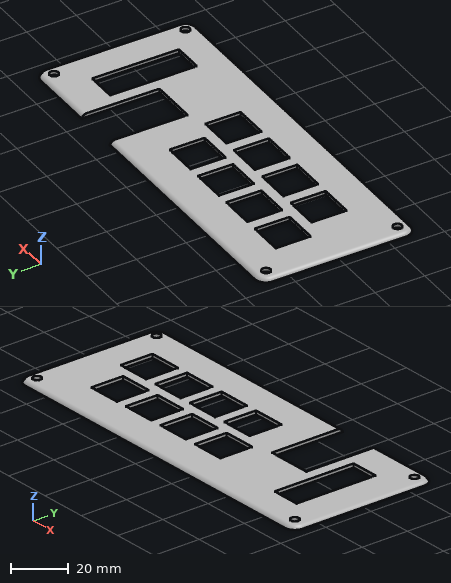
import cadquery as cq
import math

length = 152.0
width = 62.9
thickness = 1.7
corner_radius = 4.7

edge_radius = 2.5

screw_hole_diameter = 3.3
screw_hole_inset = 5.0

key_size = 14.0
key_pitch = 19.0
keys_per_row = 4
upper_row_start = (-53.8, 9.4)
lower_row_start = (-46.5, -9.4)

window_length = 12.0
window_width = 34.8
window_center = (55.6, -0.8)

notch_length = 18.8
notch_depth = 31.3
notch_center_x = 34.8


def plate_blank():
    """Rounded rectangle with its top border filleted, trimmed to the plate thickness."""
    arc_drop = edge_radius - thickness
    overhang = edge_radius - math.sqrt(edge_radius**2 - arc_drop**2)
    tall_block = (
        cq.Workplane("XY")
        .workplane(offset=-edge_radius)
        .rect(length + 2 * overhang, width + 2 * overhang)
        .extrude(edge_radius + thickness)
        .edges("|Z")
        .fillet(corner_radius + overhang)
        .faces(">Z")
        .edges()
        .fillet(edge_radius)
    )
    return tall_block.faces(">Z").workplane(offset=-thickness).split(keepTop=True)


def rectangular_cut(size_x, size_y, center):
    """Through-cutting block of the given size around a center point."""
    return cq.Workplane("XY").center(*center).rect(size_x, size_y).extrude(thickness)


def key_row(start):
    """Cutting blocks for one row of keys, running in +X from the first key center."""
    first_x, row_y = start
    centers = [(first_x + i * key_pitch, row_y) for i in range(keys_per_row)]
    return cq.Workplane("XY").pushPoints(centers).rect(key_size, key_size).extrude(thickness)


def screw_holes():
    """Cutting cylinders for the four corner screws."""
    span_x = length - 2 * screw_hole_inset
    span_y = width - 2 * screw_hole_inset
    return (
        cq.Workplane("XY")
        .rect(span_x, span_y, forConstruction=True)
        .vertices()
        .circle(screw_hole_diameter / 2)
        .extrude(thickness)
    )


notch_center = (notch_center_x, (width - notch_depth) / 2)

result = (
    plate_blank()
    .cut(key_row(upper_row_start))
    .cut(key_row(lower_row_start))
    .cut(rectangular_cut(window_length, window_width, window_center))
    .cut(rectangular_cut(notch_length, notch_depth, notch_center))
    .cut(screw_holes())
)